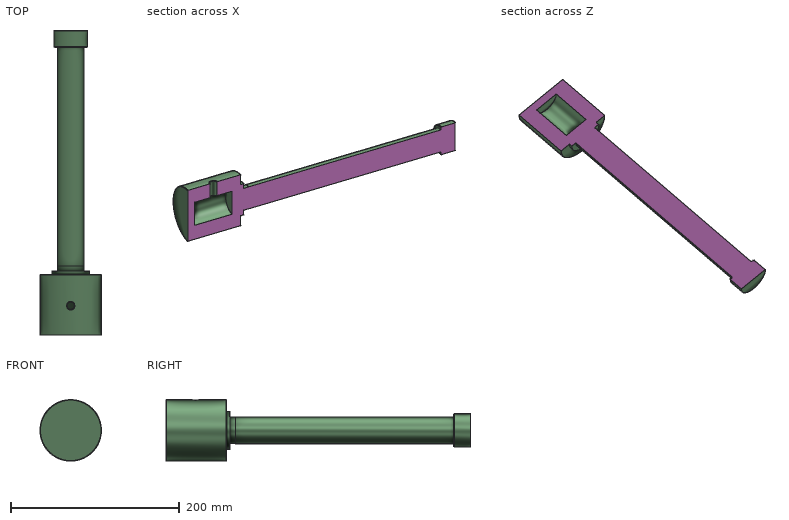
import cadquery as cq

total_length = 362.0
head_diameter = 73.0
head_length = 72.0
head_edge_chamfer = 0.5

collar_diameter = 45.0
collar_length = 4.0

neck_diameter = 31.8
neck_length = 6.5

shaft_diameter = 32.0

cap_diameter = 40.0
cap_length = 20.0
cap_edge_chamfer = 1.0

bore_diameter = shaft_diameter
bore_length = 50.0

hole_diameter = 8.5
hole_center = 35.0
hole_mouth_chamfer = 0.9

head_end = head_length
collar_end = head_end + collar_length
neck_end = collar_end + neck_length
cap_start = total_length - cap_length
bore_start = hole_center - bore_length / 2
bore_end = hole_center + bore_length / 2


def cylinder_along_y(diameter, start, end):
    """Solid cylinder on the Y axis between two stations."""
    return (
        cq.Workplane("XZ", origin=(0, start, 0))
        .circle(diameter / 2)
        .extrude(-(end - start))
    )


def make_head():
    """Large cylinder with both rims chamfered."""
    return cylinder_along_y(head_diameter, 0, head_end).edges("%CIRCLE").chamfer(head_edge_chamfer)


def make_cap():
    """End cap with its shaft-side rim chamfered."""
    return cylinder_along_y(cap_diameter, cap_start, total_length).faces("<Y").chamfer(cap_edge_chamfer)


def make_hole_cutter():
    """Radial hole from the axis up to the top of the head, widened at its mouth."""
    head_radius = head_diameter / 2
    hole_radius = hole_diameter / 2
    mouth_radius = hole_radius + hole_mouth_chamfer
    passage = (
        cq.Workplane("XY", origin=(0, hole_center, 0))
        .circle(hole_radius)
        .extrude(head_radius)
    )
    mouth = cq.Solid.makeCone(
        hole_radius,
        mouth_radius,
        hole_mouth_chamfer,
        pnt=cq.Vector(0, hole_center, head_radius - hole_mouth_chamfer),
    )
    return passage.union(cq.Workplane(obj=mouth))


collar = cylinder_along_y(collar_diameter, head_end, collar_end)
neck = cylinder_along_y(neck_diameter, collar_end, neck_end)
shaft = cylinder_along_y(shaft_diameter, neck_end, cap_start)

bore = cylinder_along_y(bore_diameter, bore_start, bore_end)

body = make_head().union(collar).union(neck).union(shaft).union(make_cap())
result = body.cut(bore).cut(make_hole_cutter())